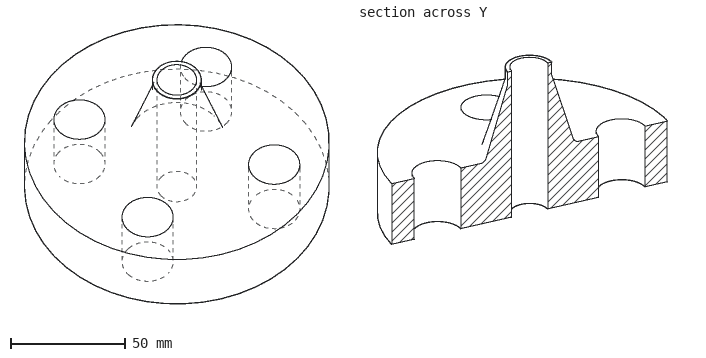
import cadquery as cq

flange_diameter = 133.3
flange_thickness = 30.5
overall_height = 73.2

hub_base_diameter = 43.5
hub_fillet_radius = 2.7
pipe_diameter = 21.5
pipe_length = 6.4
rim_chamfer = 0.1
bore_diameter = 17.3

bolt_circle_diameter = 88.9
bolt_hole_diameter = 22.4
bolt_count = 4


def make_flange():
    """Flange disc standing on the XY plane."""
    return cq.Workplane("XY").circle(flange_diameter / 2).extrude(flange_thickness)


def make_hub():
    """Cone that narrows from the flange face into the pipe stub, whose outer rim is chamfered."""
    base_radius = hub_base_diameter / 2
    pipe_radius = pipe_diameter / 2
    profile = [
        (0, 0),
        (base_radius, 0),
        (base_radius, flange_thickness),
        (pipe_radius, overall_height - pipe_length),
        (pipe_radius, overall_height - rim_chamfer),
        (pipe_radius - rim_chamfer, overall_height),
        (0, overall_height),
    ]
    return cq.Workplane("XZ").polyline(profile).close().revolve(360, (0, 0), (0, 1))


def fillet_hub_root(body):
    """Round the inner corner where the cone meets the flange face."""
    flange_top = body.faces("|Z").faces(">Z[-2]")
    root_edge = flange_top.edges(cq.selectors.RadiusNthSelector(0))
    return root_edge.fillet(hub_fillet_radius)


def cut_bore(body):
    """Drill the bore through the whole height."""
    bore = cq.Workplane("XY").circle(bore_diameter / 2).extrude(overall_height)
    return body.cut(bore)


def cut_bolt_holes(body):
    """Drill the bolt holes through the flange, the first one on the +X axis."""
    holes = (
        cq.Workplane("XY")
        .polarArray(bolt_circle_diameter / 2, 0, 360, bolt_count)
        .circle(bolt_hole_diameter / 2)
        .extrude(flange_thickness)
    )
    return body.cut(holes)


body = make_flange().union(make_hub())
body = fillet_hub_root(body)
body = cut_bore(body)
result = cut_bolt_holes(body)